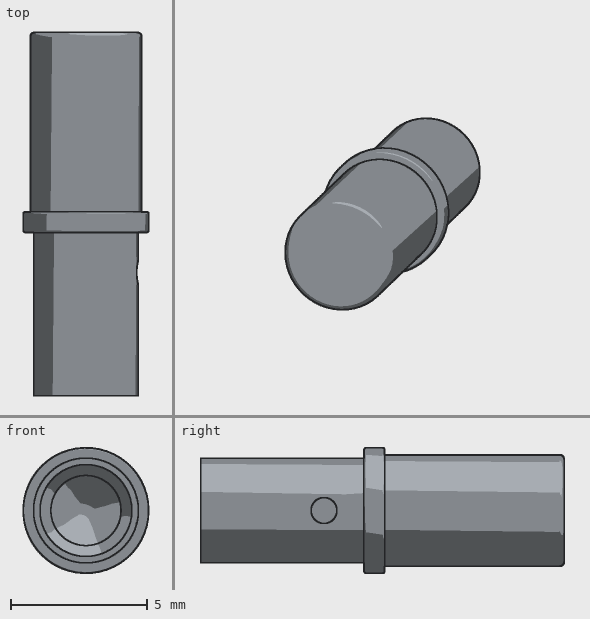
import cadquery as cq
import math

length = 13.36
barrel_length = 6.0
flange_width = 0.76

barrel_diameter = 3.86
flange_diameter = 4.62
shank_diameter = 4.1

flange_fillet = 0.08
shank_end_fillet = 0.17

bore_diameter = 2.58
bore_depth = 5.2
mouth_diameter = 3.38
mouth_flare_angle = 90.0
drill_point_angle = 118.0

inspection_diameter = 0.95
inspection_y = 4.53


def cylinder(diameter, start, depth):
    """Cylinder on the Y axis, from Y = start to Y = start + depth."""
    base = cq.Workplane("XZ", origin=(0, start, 0))
    return base.circle(diameter / 2).extrude(-depth)


def make_body():
    barrel = cylinder(barrel_diameter, 0, barrel_length)
    flange = cylinder(flange_diameter, barrel_length, flange_width)
    flange = flange.edges("%CIRCLE").fillet(flange_fillet)
    shank = cylinder(shank_diameter, barrel_length, length - barrel_length)
    shank = shank.faces(">Y").edges().fillet(shank_end_fillet)
    return barrel.union(flange).union(shank)


def make_socket():
    """Half profile of the socket, revolved about the Y axis."""
    bore_radius = bore_diameter / 2
    mouth_radius = mouth_diameter / 2
    flare_depth = (mouth_radius - bore_radius) / math.tan(math.radians(mouth_flare_angle / 2))
    point_depth = bore_radius / math.tan(math.radians(drill_point_angle / 2))
    profile = (
        cq.Workplane("XY")
        .moveTo(0, 0)
        .lineTo(mouth_radius, 0)
        .lineTo(bore_radius, flare_depth)
        .lineTo(bore_radius, bore_depth)
        .lineTo(0, bore_depth + point_depth)
        .close()
    )
    return profile.revolve(360, (0, 0, 0), (0, 1, 0))


def make_inspection_hole():
    """Radial cylinder from the bore axis out through the +X wall."""
    base = cq.Workplane("YZ", origin=(0, inspection_y, 0))
    return base.circle(inspection_diameter / 2).extrude(barrel_diameter)


result = make_body().cut(make_socket()).cut(make_inspection_hole())